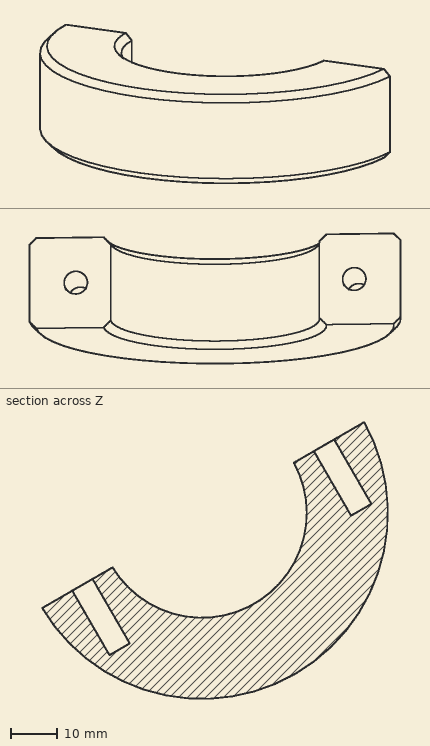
import cadquery as cq

outer_radius = 40.0
bore_radius = 22.5
height = 19.9
chamfer = 1.5

split_angle = 30.0
half_gap = 0.5

hole_diameter = 5.0
hole_depth = 16.0
hole_offset = 30.0


def make_ring():
    """Full ring centred on the origin, with both rims chamfered inside and out."""
    ring = cq.Workplane("XY").circle(outer_radius).circle(bore_radius).extrude(height / 2, both=True)
    return ring.faces("|Z").edges().chamfer(chamfer)


def keep_lower_half(ring):
    """Keep the material on the -Y side of the gap, before the ring is turned."""
    half_space = (
        cq.Workplane("XY")
        .box(2 * outer_radius, outer_radius, height, centered=(True, False, True))
        .translate((0, -outer_radius - half_gap, 0))
    )
    return ring.intersect(half_space)


def make_screw_holes():
    """Blind holes running square into the two split faces at mid height."""
    return (
        cq.Workplane("XZ", origin=(0, -half_gap, 0))
        .pushPoints([(-hole_offset, 0), (hole_offset, 0)])
        .circle(hole_diameter / 2)
        .extrude(hole_depth)
    )


half_ring = keep_lower_half(make_ring()).cut(make_screw_holes())
result = half_ring.rotate((0, 0, 0), (0, 0, 1), split_angle)